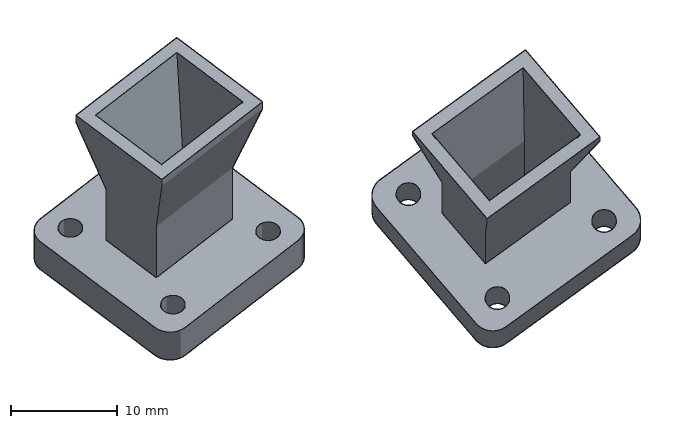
import cadquery as cq

flange_side = 19.05
flange_thickness = 4.0
flange_corner_radius = 2.01
hole_diameter = 2.3
hole_spacing_x = 13.45
hole_spacing_y = 12.7

flare_start_z = 11.3
total_height = 21.4
rim_height = 1.0
flare_end_z = total_height - rim_height

throat_x = 3.55
throat_y = 7.1
throat_wall = 1.52
mouth_x = 8.67
mouth_y = 10.83
mouth_wall = 1.3

neck_x = throat_x + 2 * throat_wall
neck_y = throat_y + 2 * throat_wall
rim_x = mouth_x + 2 * mouth_wall
rim_y = mouth_y + 2 * mouth_wall


def block(size_x, size_y, bottom_z, top_z):
    """Centred rectangular block between two heights."""
    return cq.Workplane("XY").workplane(offset=bottom_z).rect(size_x, size_y).extrude(top_z - bottom_z)


def flare(bottom_size, top_size, bottom_z, top_z):
    """Centred rectangular frustum between two heights."""
    return (
        cq.Workplane("XY")
        .workplane(offset=bottom_z)
        .rect(*bottom_size)
        .workplane(offset=top_z - bottom_z)
        .rect(*top_size)
        .loft(ruled=True, combine=True)
    )


flange = (
    block(flange_side, flange_side, 0, flange_thickness)
    .edges("|Z")
    .fillet(flange_corner_radius)
    .faces(">Z")
    .workplane()
    .rect(hole_spacing_x, hole_spacing_y, forConstruction=True)
    .vertices()
    .hole(hole_diameter)
)

neck = block(neck_x, neck_y, flange_thickness, flare_start_z)
horn = flare((neck_x, neck_y), (rim_x, rim_y), flare_start_z, flare_end_z)
rim = block(rim_x, rim_y, flare_end_z, total_height)

bore = block(throat_x, throat_y, 0, flare_start_z)
horn_cavity = flare((throat_x, throat_y), (mouth_x, mouth_y), flare_start_z, total_height)

result = flange.union(neck).union(horn).union(rim).cut(bore).cut(horn_cavity)